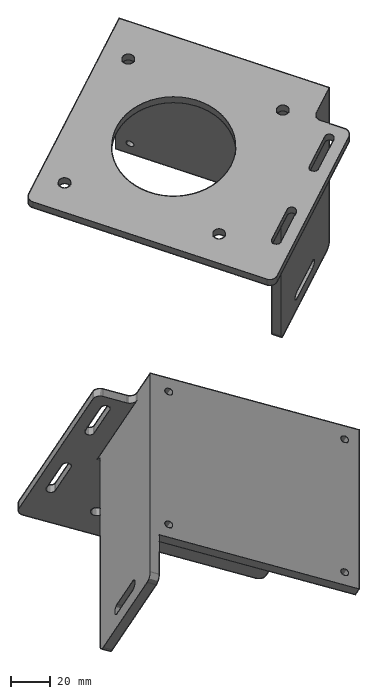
import cadquery as cq


length_x = 137.1
depth_y = 125.0
height_z = 135.0

plate_thickness = 5.1
rear_wall_width = 116.0
rear_wall_height = 105.0
side_wall_depth = 65.0
notch_depth = 21.1
corner_radius = 4.0

bore_diameter = 63.3
bore_x = 56.9
bore_y = -side_wall_depth
bolt_diameter = 6.5
bolt_pitch = 85.3

top_slot_length = 25.2
top_slot_width = 5.0
top_slot_x = 128.2
top_slot_pitch = 50.3
first_top_slot_y = -39.9

side_slot_length = 26.2
side_slot_width = 6.0
side_slot_y = -32.9
side_slot_z = -123.1

screw_diameter = 4.2
screw_left_x = 8.1
screw_upper_z = -8.9
screw_pitch_x = 97.6
screw_pitch_z = 87.6


def box(x_range, y_range, z_range):
    """Axis-aligned block between the given (low, high) limits."""
    (x0, x1), (y0, y1), (z0, z1) = x_range, y_range, z_range
    return cq.Workplane("XY").box(x1 - x0, y1 - y0, z1 - z0, centered=False).translate((x0, y0, z0))


def make_top_plate():
    """Horizontal plate, notched at its right rear corner, with its openings."""
    plate = (
        cq.Workplane("XY")
        .polyline([
            (0, 0),
            (rear_wall_width, 0),
            (rear_wall_width, -notch_depth),
            (length_x, -notch_depth),
            (length_x, -depth_y),
            (0, -depth_y),
        ])
        .close()
        .extrude(-plate_thickness)
    )
    notch_edges = plate.edges("|Z").edges(
        cq.selectors.NearestToPointSelector((rear_wall_width, -notch_depth, -plate_thickness / 2))
    )
    plate = notch_edges.fillet(corner_radius)
    plate = plate.edges("|Z and (<Y or >X)").fillet(corner_radius)

    bore = cq.Workplane("XY").center(bore_x, bore_y).circle(bore_diameter / 2).extrude(-plate_thickness)
    bolts = (
        cq.Workplane("XY")
        .center(bore_x, bore_y)
        .rect(bolt_pitch, bolt_pitch, forConstruction=True)
        .vertices()
        .circle(bolt_diameter / 2)
        .extrude(-plate_thickness)
    )
    slots = (
        cq.Workplane("XY")
        .pushPoints([(top_slot_x, first_top_slot_y), (top_slot_x, first_top_slot_y - top_slot_pitch)])
        .slot2D(top_slot_length, top_slot_width, 90)
        .extrude(-plate_thickness)
    )
    return plate.cut(bore).cut(bolts).cut(slots)


def make_rear_wall():
    """Vertical wall along the rear edge, with four screw holes."""
    wall = box((0, rear_wall_width), (-plate_thickness, 0), (-rear_wall_height, 0))
    screws = (
        cq.Workplane("XZ")
        .center(screw_left_x + screw_pitch_x / 2, screw_upper_z - screw_pitch_z / 2)
        .rect(screw_pitch_x, screw_pitch_z, forConstruction=True)
        .vertices()
        .circle(screw_diameter / 2)
        .extrude(plate_thickness)
    )
    return wall.cut(screws)


def make_side_wall():
    """Tall wall under the top plate, slotted near its rounded foot."""
    inner_x = rear_wall_width - plate_thickness
    wall_x = (inner_x, rear_wall_width)
    wall = box(wall_x, (-side_wall_depth, 0), (-height_z, -plate_thickness))
    wall = wall.edges("|X and <Z").fillet(corner_radius)
    slot = (
        cq.Workplane("YZ", origin=(inner_x, side_slot_y, side_slot_z))
        .slot2D(side_slot_length, side_slot_width)
        .extrude(plate_thickness)
    )

    blend = box(
        wall_x,
        (-side_wall_depth - corner_radius, -side_wall_depth),
        (-plate_thickness - corner_radius, -plate_thickness),
    )
    blend_center = (inner_x, -side_wall_depth - corner_radius, -plate_thickness - corner_radius)
    blend_round = cq.Workplane("YZ", origin=blend_center).circle(corner_radius).extrude(plate_thickness)
    return wall.cut(slot).union(blend.cut(blend_round))


result = make_top_plate().union(make_rear_wall()).union(make_side_wall())
result = result.translate((0, 0, height_z))